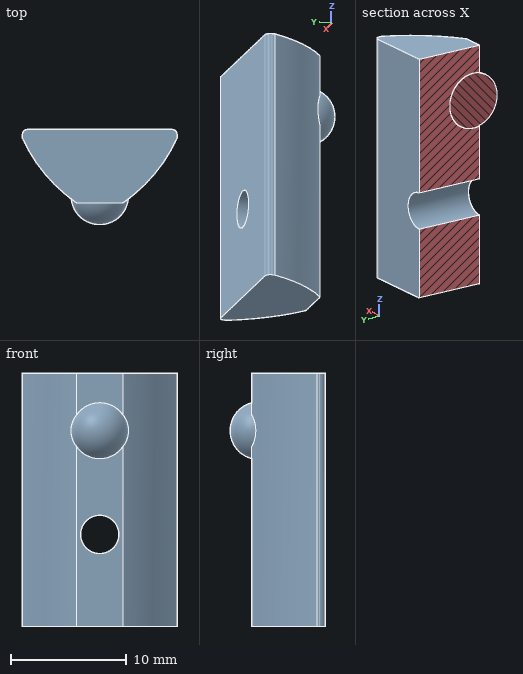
import cadquery as cq

length = 22.0
back_width = 13.46
front_width = 4.0
depth = 6.4
corner_radius = 0.5
side_depth = 0.75
flank_radius = 13.65

hole_diameter = 3.3
hole_height = 8.0

ball_radius = 2.5
overall_depth = 8.3
ball_height = 17.0
ball_center = (0, ball_radius - overall_depth, ball_height)


def make_ball():
    return cq.Workplane("XY").sphere(ball_radius).translate(ball_center)


def make_nut_blank():
    half_back = back_width / 2
    half_front = front_width / 2
    blank = (
        cq.Workplane("XY")
        .moveTo(-half_back, 0)
        .lineTo(half_back, 0)
        .lineTo(half_back, -side_depth)
        .radiusArc((half_front, -depth), flank_radius)
        .lineTo(-half_front, -depth)
        .radiusArc((-half_back, -side_depth), flank_radius)
        .close()
        .extrude(length)
    )
    back_corners = blank.faces(">Y").edges("|Z")
    return back_corners.fillet(corner_radius)


def make_through_hole():
    return (
        cq.Workplane("XZ")
        .center(0, hole_height)
        .circle(hole_diameter / 2)
        .extrude(depth)
    )


def make_nut():
    ball_seat = make_ball()
    return make_nut_blank().cut(make_through_hole()).cut(ball_seat)


nut = make_nut()
ball = make_ball()

result = cq.Compound.makeCompound([nut.solids().val(), ball.val()])